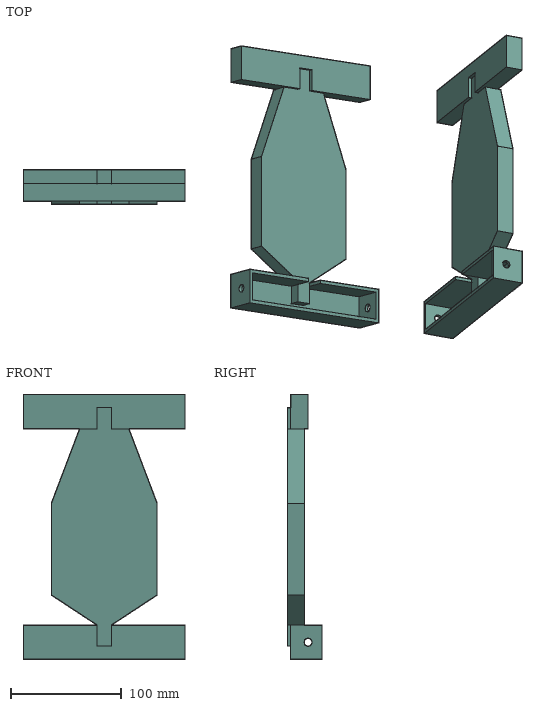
import cadquery as cq

overall_height = 239.2
overall_depth = 31.3

bar_length = 146.0
bar_height = 31.0
lower_bar_front = 2.6
lower_bar_depth = overall_depth - lower_bar_front
upper_bar_front = 2.9
upper_bar_depth = 15.8

lower_bar_wall = 3.0

hole_diameter = 7.0
hole_from_back = 12.7
hole_height = bar_height / 2

board_thickness = 15.5
board_width = 95.7
board_top_width = 44.7
upper_taper_height = 67.2
lower_taper_height = 27.0
tab_width = 13.5
tab_length = 19.1

lower_joint = bar_height
upper_joint = overall_height - bar_height


def make_block(width, front, depth, bottom, height):
    """Block centred on X, placed by its front face and its bottom."""
    block = cq.Workplane("XY").box(width, depth, height, centered=(True, False, False))
    return block.translate((0, front, bottom))


def make_board():
    """Tapered board with a tab at each end."""
    half_width = board_width / 2
    half_top = board_top_width / 2
    half_tab = tab_width / 2
    right_side = [
        (half_tab, lower_joint - tab_length),
        (half_tab, lower_joint),
        (half_width, lower_joint + lower_taper_height),
        (half_width, upper_joint - upper_taper_height),
        (half_top, upper_joint),
        (half_tab, upper_joint),
        (half_tab, upper_joint + tab_length),
    ]
    left_side = [(-x, z) for x, z in reversed(right_side)]
    outline = cq.Workplane("XZ").polyline(right_side + left_side).close()
    return outline.extrude(-board_thickness)


def make_lower_bar():
    """Hollow lower bar, open at the back, with an open-topped tab slot and a hole in each end wall."""
    bar = make_block(bar_length, lower_bar_front, lower_bar_depth, 0, bar_height)
    hollow = make_block(
        bar_length - 2 * lower_bar_wall,
        lower_bar_front + lower_bar_wall,
        lower_bar_depth - lower_bar_wall,
        lower_bar_wall,
        bar_height - 2 * lower_bar_wall,
    )
    slot = make_block(tab_width, lower_bar_front, lower_bar_depth, lower_joint - tab_length, tab_length)
    hole = (
        cq.Workplane("YZ", origin=(-bar_length / 2, 0, 0))
        .center(overall_depth - hole_from_back, hole_height)
        .circle(hole_diameter / 2)
        .extrude(bar_length)
    )
    return bar.cut(hollow).cut(slot).cut(hole)


def make_upper_bar():
    """Upper bar with a tab slot through its depth, open at the bottom."""
    bar = make_block(bar_length, upper_bar_front, upper_bar_depth, upper_joint, bar_height)
    slot = make_block(tab_width, upper_bar_front, upper_bar_depth, upper_joint, tab_length)
    return bar.cut(slot)


board = make_board()
lower_bar = make_lower_bar()
upper_bar = make_upper_bar()

result = cq.Compound.makeCompound([board.val(), *lower_bar.solids().vals(), *upper_bar.solids().vals()])